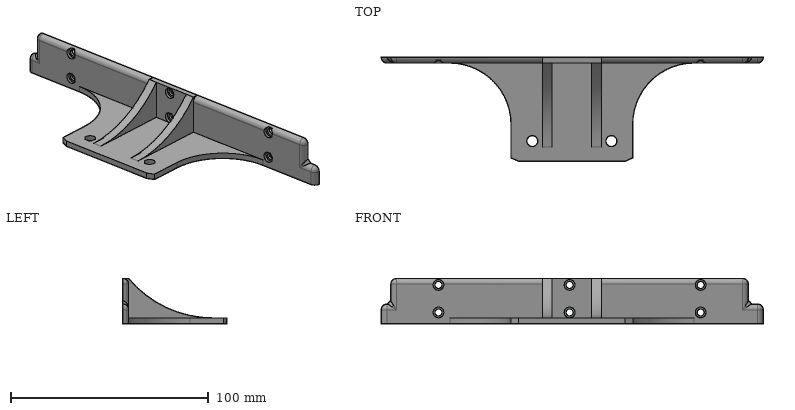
import cadquery as cq
import math

length = 193.5
depth = 52.8
height = 23.0
thickness = 3.0

screw_center_x = -1.4
raised_length = 181.1
ledge_height = 10.0
edge_radius = 2.9
corner_radius = 2.9
dome_radius = 5.5

screw_spacing = 66.4
screw_heights = (5.8, 19.7)
screw_diameter = 3.5
counterbore_diameter = 5.5
counterbore_depth = 1.5

base_center_x = -0.2
base_width = 61.7
base_flare_radius = 31.0
corner_width = 3.9
corner_depth = 1.7
base_hole_diameter = 5.5
base_hole_spacing = 40.0
base_hole_y = -42.5
rib_thickness = 4.8
rib_outer_width = 29.8
rib_end_y = -45.7


def box(x_start, x_end, y_start, y_end, z_start, z_end):
    size = (x_end - x_start, y_end - y_start, z_end - z_start)
    return cq.Workplane("XY").box(*size, centered=False).translate((x_start, y_start, z_start))


def make_dome():
    """Half ellipsoid, flat on the rear face, that blends an inner corner of the rounded rim."""
    return (
        cq.Workplane("XY")
        .moveTo(0, -thickness)
        .ellipseArc(dome_radius, thickness, -90, 0, startAtCurrent=True)
        .lineTo(0, 0)
        .close()
        .revolve(360, (0, 0, 0), (0, 1, 0))
    )


def make_wall():
    """Stepped upright wall with a rounded front rim and domes in its inner corners."""
    raised_left = screw_center_x - raised_length / 2
    raised_right = screw_center_x + raised_length / 2
    wall = (
        cq.Workplane("XZ")
        .moveTo(-length / 2, 0)
        .lineTo(length / 2, 0)
        .lineTo(length / 2, ledge_height)
        .lineTo(raised_right, ledge_height)
        .lineTo(raised_right, height)
        .lineTo(raised_left, height)
        .lineTo(raised_left, ledge_height)
        .lineTo(-length / 2, ledge_height)
        .close()
        .extrude(thickness)
    )
    top_corners = wall.faces(">Z").edges("|Y").vals()
    end_corners = wall.faces("<X or >X").edges("|Y").edges(">Z").vals()
    wall = wall.newObject(top_corners + end_corners).fillet(corner_radius)
    rim = wall.faces("<Y").edges("not(<Z)")
    wall = wall.newObject(rim.vals()).fillet(edge_radius)
    dome_z = ledge_height - edge_radius
    for dome_x in (raised_left + edge_radius, raised_right - edge_radius):
        wall = wall.union(make_dome().translate((dome_x, 0, dome_z)))
    half = rib_outer_width / 2
    square_top = box(base_center_x - half, base_center_x + half, -thickness, 0, 0, height)
    return wall.union(square_top)


def make_base():
    """Flat base plate that flares into the wall through two concave quarter arcs."""
    half = base_width / 2
    flare_end_x = half + base_flare_radius
    flare_end_y = -thickness - base_flare_radius
    arc_offset = base_flare_radius * (1 - math.sqrt(0.5))
    arc_mid_x = half + arc_offset
    arc_mid_y = -thickness - arc_offset
    return (
        cq.Workplane("XY")
        .moveTo(-flare_end_x, -thickness)
        .threePointArc((-arc_mid_x, arc_mid_y), (-half, flare_end_y))
        .lineTo(-half, -depth + corner_depth)
        .lineTo(-half + corner_width, -depth)
        .lineTo(half - corner_width, -depth)
        .lineTo(half, -depth + corner_depth)
        .lineTo(half, flare_end_y)
        .threePointArc((arc_mid_x, arc_mid_y), (flare_end_x, -thickness))
        .lineTo(flare_end_x, 0)
        .lineTo(-flare_end_x, 0)
        .close()
        .extrude(thickness)
        .translate((base_center_x, 0, 0))
    )


def make_rib(x_start):
    """Rib whose concave top edge meets the base plate tangentially."""
    run = -thickness - rib_end_y
    rise = height - thickness
    radius = (run**2 + rise**2) / (2 * rise)
    half_angle = math.asin(run / radius) / 2
    mid_y = rib_end_y + radius * math.sin(half_angle)
    mid_z = thickness + radius * (1 - math.cos(half_angle))
    return (
        cq.Workplane("YZ")
        .moveTo(-thickness, height)
        .threePointArc((mid_y, mid_z), (rib_end_y, thickness))
        .lineTo(rib_end_y, 0)
        .lineTo(0, 0)
        .lineTo(0, height)
        .close()
        .extrude(rib_thickness)
        .translate((x_start, 0, 0))
    )


result = make_wall().union(make_base())

rib_offset = rib_outer_width / 2
for rib_start_x in (-rib_offset, rib_offset - rib_thickness):
    result = result.union(make_rib(base_center_x + rib_start_x))

screw_points = [
    (screw_center_x + column * screw_spacing, z)
    for column in (-1, 0, 1)
    for z in screw_heights
]
front_plane = cq.Workplane("XZ", origin=(0, -thickness, 0))
screw_holes = front_plane.pushPoints(screw_points).circle(screw_diameter / 2).extrude(-thickness)
counterbores = (
    front_plane.pushPoints(screw_points).circle(counterbore_diameter / 2).extrude(-counterbore_depth)
)
result = result.cut(screw_holes).cut(counterbores)

base_holes = (
    cq.Workplane("XY")
    .pushPoints([(base_center_x + side * base_hole_spacing / 2, base_hole_y) for side in (-1, 1)])
    .circle(base_hole_diameter / 2)
    .extrude(thickness)
)
result = result.cut(base_holes)